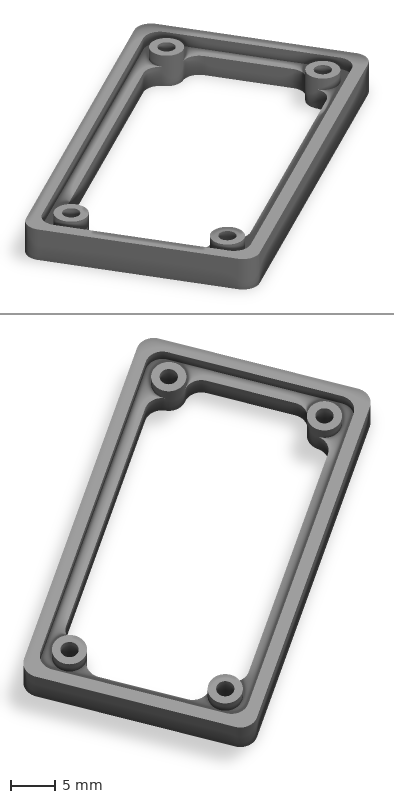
import cadquery as cq
import math

width = 27.65
length = 48.25
height = 4.0
corner_radius = 2.0

rim_thickness = 1.5
ledge_width = 1.5
ledge_height = 2.5
opening_width = width - 2 * (rim_thickness + ledge_width)
opening_length = length - 2 * (rim_thickness + ledge_width)

boss_spacing_x = 18.5
boss_spacing_y = 38.95
boss_diameter = 4.0
hole_diameter = 2.07
blend_radius = 2.0


def rounded_block(size_x, size_y, block_height):
    """Block standing on Z = 0 with rounded vertical edges."""
    block = cq.Workplane("XY").rect(size_x, size_y).extrude(block_height)
    return block.edges("|Z").fillet(corner_radius)


def corner_web():
    """Ledge material around the +X +Y boss, blended tangentially into both opening edges."""
    boss_x = boss_spacing_x / 2
    boss_y = boss_spacing_y / 2
    edge_x = opening_width / 2
    edge_y = opening_length / 2
    boss_radius = boss_diameter / 2
    reach = boss_radius + blend_radius

    side_x = edge_x - blend_radius
    side_y = boss_y - math.sqrt(reach**2 - (boss_x - side_x) ** 2)
    end_y = edge_y - blend_radius
    end_x = boss_x - math.sqrt(reach**2 - (boss_y - end_y) ** 2)

    def toward_boss(center_x, center_y):
        """Point where a blend arc touches the boss."""
        share = blend_radius / reach
        return (center_x + share * (boss_x - center_x), center_y + share * (boss_y - center_y))

    def arc_middle(center_x, center_y, start, end):
        """Middle of the short blend arc between two points."""
        offset_x = (start[0] + end[0]) / 2 - center_x
        offset_y = (start[1] + end[1]) / 2 - center_y
        stretch = blend_radius / math.hypot(offset_x, offset_y)
        return (center_x + stretch * offset_x, center_y + stretch * offset_y)

    side_start = (edge_x, side_y)
    side_touch = toward_boss(side_x, side_y)
    end_touch = toward_boss(end_x, end_y)
    end_finish = (end_x, edge_y)

    return (
        cq.Workplane("XY")
        .moveTo(*side_start)
        .threePointArc(arc_middle(side_x, side_y, side_start, side_touch), side_touch)
        .lineTo(boss_x, boss_y)
        .lineTo(*end_touch)
        .threePointArc(arc_middle(end_x, end_y, end_touch, end_finish), end_finish)
        .lineTo(edge_x, edge_y)
        .close()
        .extrude(ledge_height)
    )


def at_bosses(diameter):
    """Four full-height cylinders on the boss centres."""
    return (
        cq.Workplane("XY")
        .rect(boss_spacing_x, boss_spacing_y, forConstruction=True)
        .vertices()
        .circle(diameter / 2)
        .extrude(height)
    )


recess = rounded_block(width - 2 * rim_thickness, length - 2 * rim_thickness, height)
recess = recess.translate((0, 0, ledge_height))
opening = cq.Workplane("XY").rect(opening_width, opening_length).extrude(height)
frame = rounded_block(width, length, height).cut(recess).cut(opening)

web = corner_web()
web_pair = web.union(web.mirror("YZ"))
frame = frame.union(web_pair).union(web_pair.mirror("XZ"))

result = frame.union(at_bosses(boss_diameter)).cut(at_bosses(hole_diameter))